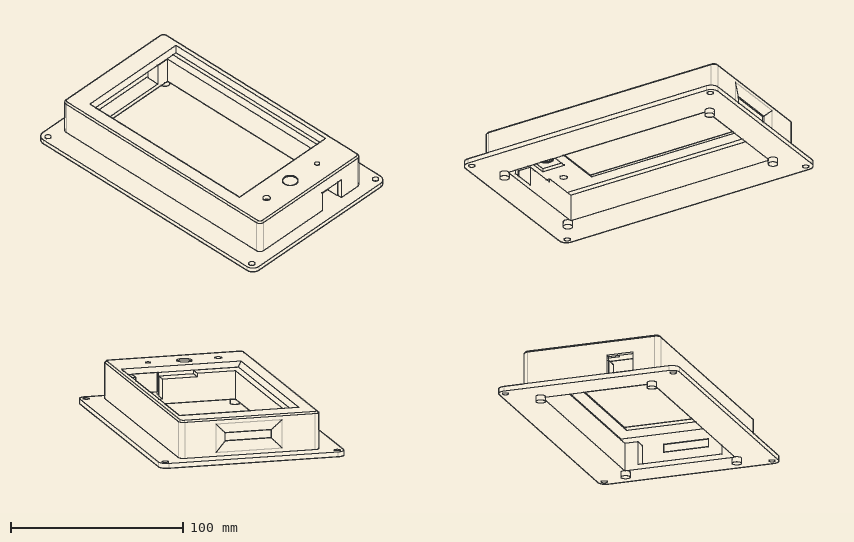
import cadquery as cq

PLATE_LENGTH = 173.1
PLATE_WIDTH = 111.8
PLATE_THICKNESS = 3.0
PLATE_CORNER_RADIUS = 4.8
SCREW_HOLE_DIAMETER = 3.6
SCREW_EDGE_OFFSET_X = 4.8
SCREW_EDGE_OFFSET_Y = 4.0
SCREW_SPACING_X = PLATE_LENGTH - 2 * SCREW_EDGE_OFFSET_X
SCREW_SPACING_Y = PLATE_WIDTH - 2 * SCREW_EDGE_OFFSET_Y

BASE_GAP = 0.5
HOUSING_LENGTH = 158.4
HOUSING_WIDTH = 84.6
HOUSING_TOP = 26.0
WALL = 2.8
ROOF = 3.0
HOUSING_CORNER_RADIUS = 3.0
HOUSING_CHAMFER = 1.0
HOUSING_BASE = PLATE_THICKNESS + BASE_GAP
CAVITY_LENGTH = HOUSING_LENGTH - 2 * WALL
CAVITY_WIDTH = HOUSING_WIDTH - 2 * WALL
CEILING = HOUSING_TOP - ROOF

WINDOW_LENGTH = 120.0
WINDOW_WIDTH = 72.2
WINDOW_CENTER = (-5.7, 2.6)
WINDOW_BEVEL = 2.3

SENSOR_HOLE = (66.1, 19.2, 3.0)
KNOB_HOLE = (65.3, -2.5, 9.0)
BUTTON_HOLE = (66.1, -23.2, 4.3)

PORT_Y = (9.9, 26.0)

KNOB_BAY_Y = (-11.0, PORT_Y[0])
KNOB_POCKET_X = (58.0, 72.7)
KNOB_SKIN = 0.9
KNOB_STEP_TOP = 14.9

CARD_SLOT_WIDTH = 27.9
CARD_SLOT_HEIGHT = 4.8
CARD_SLOT_CENTER_Y = 0.5
CARD_SLOT_CENTER_Z = 14.2
FUNNEL_MARGIN = 6.0
FUNNEL_DEPTH = 1.9

OPENING_LENGTH = 136.0
OPENING_WIDTH = 68.2
FRAME_TOP = 17.0
FRAME_CLEARANCE = 0.5
FRAME_LENGTH = CAVITY_LENGTH - 2 * FRAME_CLEARANCE
FRAME_WIDTH = CAVITY_WIDTH - 2 * FRAME_CLEARANCE
CARD_NOTCH_Y = (-26.0, 26.0)

FOOT_DIAMETER = 5.5
FOOT_HEIGHT = 3.1
FOOT_X = 70.3
FOOT_Y = 34.5


def block(x_range, y_range, z_range):
    """Box that spans the given ranges."""
    size = [high - low for low, high in (x_range, y_range, z_range)]
    corner = (x_range[0], y_range[0], z_range[0])
    return cq.Workplane("XY").box(*size, centered=False).translate(corner)


def window_cutter():
    """Tapered window, smallest at the ceiling of the housing."""
    return (
        cq.Workplane("XY", origin=(*WINDOW_CENTER, HOUSING_TOP))
        .rect(WINDOW_LENGTH, WINDOW_WIDTH)
        .workplane(offset=-ROOF)
        .rect(WINDOW_LENGTH - 2 * WINDOW_BEVEL, WINDOW_WIDTH - 2 * WINDOW_BEVEL)
        .loft()
    )


def card_slot_cutter():
    """Funnel from the outer -X face, then a straight slot through the rest of the wall."""
    outer_face = (-HOUSING_LENGTH / 2, CARD_SLOT_CENTER_Y, CARD_SLOT_CENTER_Z)
    funnel = (
        cq.Workplane("YZ", origin=outer_face)
        .rect(CARD_SLOT_WIDTH + 2 * FUNNEL_MARGIN, CARD_SLOT_HEIGHT + 2 * FUNNEL_MARGIN)
        .workplane(offset=FUNNEL_DEPTH)
        .rect(CARD_SLOT_WIDTH, CARD_SLOT_HEIGHT)
        .loft()
    )
    slot = cq.Workplane("YZ", origin=outer_face).rect(CARD_SLOT_WIDTH, CARD_SLOT_HEIGHT).extrude(WALL)
    return funnel.union(slot)


def make_housing():
    housing = (
        cq.Workplane("XY", origin=(0, 0, HOUSING_BASE))
        .rect(HOUSING_LENGTH, HOUSING_WIDTH)
        .extrude(HOUSING_TOP - HOUSING_BASE)
        .edges("|Z").fillet(HOUSING_CORNER_RADIUS)
        .faces(">Z").edges().chamfer(HOUSING_CHAMFER)
    )
    cavity = (
        cq.Workplane("XY", origin=(0, 0, HOUSING_BASE))
        .rect(CAVITY_LENGTH, CAVITY_WIDTH)
        .extrude(CEILING - HOUSING_BASE)
    )
    knob_pocket = block(KNOB_POCKET_X, KNOB_BAY_Y, (CEILING, HOUSING_TOP - KNOB_SKIN))
    port = block((CAVITY_LENGTH / 2, HOUSING_LENGTH / 2), PORT_Y, (HOUSING_BASE, FRAME_TOP))
    housing = housing.cut(cavity).cut(window_cutter()).cut(knob_pocket)
    housing = housing.cut(card_slot_cutter()).cut(port)
    for x, y, diameter in (SENSOR_HOLE, KNOB_HOLE, BUTTON_HOLE):
        hole = cq.Workplane("XY", origin=(x, y, CEILING)).circle(diameter / 2).extrude(ROOF)
        housing = housing.cut(hole)
    return housing


def make_base():
    """Flange plate with the inner frame standing on it, open through the middle."""
    plate = (
        cq.Workplane("XY")
        .rect(PLATE_LENGTH, PLATE_WIDTH)
        .extrude(PLATE_THICKNESS)
        .edges("|Z").fillet(PLATE_CORNER_RADIUS)
    )
    frame = cq.Workplane("XY").rect(FRAME_LENGTH, FRAME_WIDTH).extrude(FRAME_TOP)
    opening = cq.Workplane("XY").rect(OPENING_LENGTH, OPENING_WIDTH).extrude(FRAME_TOP)
    screw_holes = (
        cq.Workplane("XY")
        .rect(SCREW_SPACING_X, SCREW_SPACING_Y, forConstruction=True)
        .vertices()
        .circle(SCREW_HOLE_DIAMETER / 2)
        .extrude(PLATE_THICKNESS)
    )
    right_rail = (OPENING_LENGTH / 2, FRAME_LENGTH / 2)
    left_rail = (-FRAME_LENGTH / 2, -OPENING_LENGTH / 2)
    port_notch = block(right_rail, PORT_Y, (PLATE_THICKNESS, FRAME_TOP))
    knob_step = block(right_rail, KNOB_BAY_Y, (KNOB_STEP_TOP, FRAME_TOP))
    card_notch = block(left_rail, CARD_NOTCH_Y, (PLATE_THICKNESS, FRAME_TOP))
    base = plate.union(frame).cut(opening).cut(screw_holes)
    return base.cut(port_notch).cut(knob_step).cut(card_notch)


def make_foot(x, y):
    return cq.Workplane("XY", origin=(x, y, 0)).circle(FOOT_DIAMETER / 2).extrude(-FOOT_HEIGHT)


housing = make_housing()
base = make_base()
feet = [make_foot(x, y) for x in (-FOOT_X, FOOT_X) for y in (-FOOT_Y, FOOT_Y)]

result = cq.Compound.makeCompound([housing.val(), base.val(), *[foot.val() for foot in feet]])